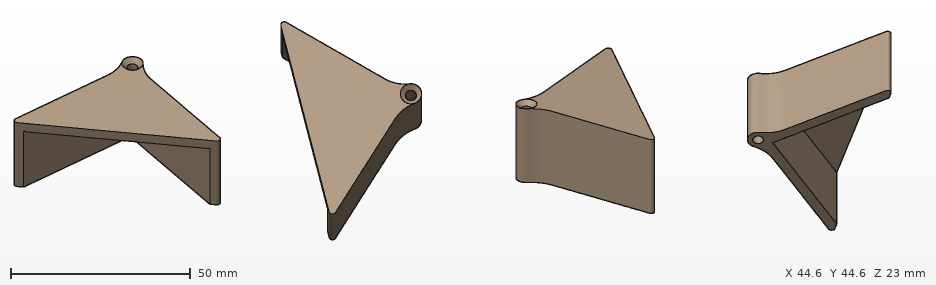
import cadquery as cq
import math

overall_side = 44.6
height = 23.0
boss_radius = 3.0
wall = 3.0
hole_diameter = 3.0
countersink_diameter = 5.9
countersink_angle = 90.0
blend_radius = 11.0
tip_radius = 1.0

leg_reach = overall_side - boss_radius
sharp_leg = leg_reach + math.sqrt(2) * tip_radius
blend_start = math.sqrt((boss_radius + blend_radius) ** 2 - blend_radius ** 2)


def triangle(corner_offset, depth):
    """Right triangular prism with its legs moved inward from the origin."""
    leg_end = sharp_leg - corner_offset
    return (
        cq.Workplane("XY")
        .moveTo(corner_offset, -corner_offset)
        .lineTo(leg_end, -corner_offset)
        .lineTo(corner_offset, -leg_end)
        .close()
        .extrude(depth)
    )


def blend_web():
    """Corner web whose two concave arcs join the boss to the legs."""
    contact_ratio = boss_radius / (boss_radius + blend_radius)
    along = blend_start * contact_ratio
    across = blend_radius * contact_ratio
    return (
        cq.Workplane("XY")
        .lineTo(along, across)
        .radiusArc((blend_start, 0), -blend_radius)
        .lineTo(0, -blend_start)
        .radiusArc((-across, -along), -blend_radius)
        .close()
        .extrude(height)
    )


block = triangle(0, height)
for tip in ((sharp_leg, 0, height / 2), (0, -sharp_leg, height / 2)):
    block = block.edges(cq.selectors.NearestToPointSelector(tip)).fillet(tip_radius)

cavity = triangle(wall, height - wall)

boss = cq.Workplane("XY").circle(boss_radius).extrude(height)
body = block.union(blend_web()).cut(cavity).union(boss)

result = (
    body.faces(">Z")
    .workplane(origin=(0, 0, height))
    .cskHole(hole_diameter, countersink_diameter, countersink_angle)
    .translate((boss_radius - overall_side / 2, overall_side / 2 - boss_radius, 0))
)